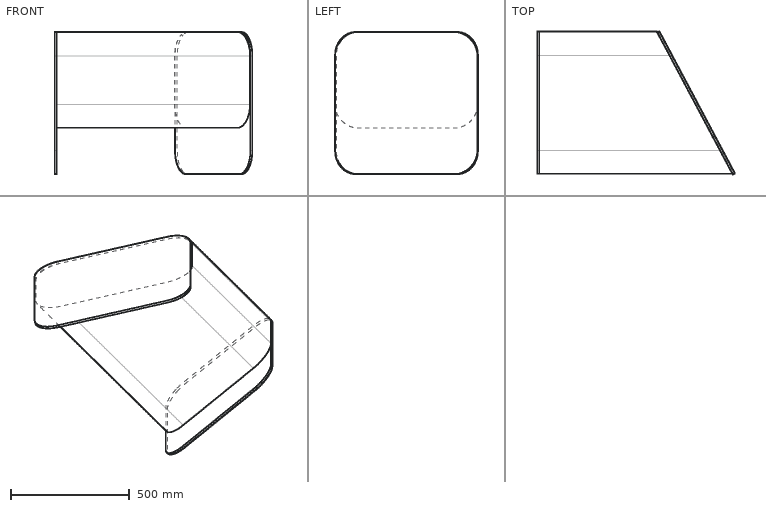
import cadquery as cq
import math

total_length = 835.0
total_depth = 603.5
end_size = 600.0
plate_thickness = 10.0
corner_radius = 100.0
beam_height = 405.0
slant_angle = 28.0

slant = math.radians(slant_angle)
back_y = end_size / 2 - plate_thickness * math.sin(slant)
top_z = end_size / 2
slant_length = (total_depth - plate_thickness * math.sin(slant)) / math.cos(slant)
back_x = total_length - plate_thickness * math.cos(slant) - slant_length * math.sin(slant)

slant_plane = cq.Plane(
    origin=(back_x, back_y, 0),
    xDir=(math.sin(slant), -math.cos(slant), 0),
    normal=(math.cos(slant), math.sin(slant), 0),
)


def rounded_bar(plane, width, height, length, center=(0, 0)):
    """Rectangle with rounded corners, extruded along the plane's normal."""
    return (
        cq.Workplane(plane)
        .center(*center)
        .rect(width, height)
        .extrude(length)
        .edges(cq.selectors.ParallelDirSelector(plane.zDir))
        .fillet(corner_radius)
    )


def make_end_plate():
    return rounded_bar(cq.Plane.named("YZ"), end_size, end_size, plate_thickness)


def make_slanted_plate():
    return rounded_bar(slant_plane, slant_length, end_size, plate_thickness, (slant_length / 2, 0))


def make_beam():
    """Rounded beam flush with the plate tops, cut off along the slanted plate's inner face."""
    beam_plane = cq.Plane.named("YZ", origin=(plate_thickness, 0, top_z - beam_height / 2))
    beam = rounded_bar(beam_plane, end_size, beam_height, total_length)
    beyond_size = 4 * total_length
    beyond_plate = cq.Workplane(slant_plane).rect(beyond_size, beyond_size).extrude(beyond_size)
    return beam.cut(beyond_plate)


end_plate = make_end_plate()
slanted_plate = make_slanted_plate()
beam = make_beam()

result = cq.Compound.makeCompound([end_plate.val(), slanted_plate.val(), *beam.vals()])